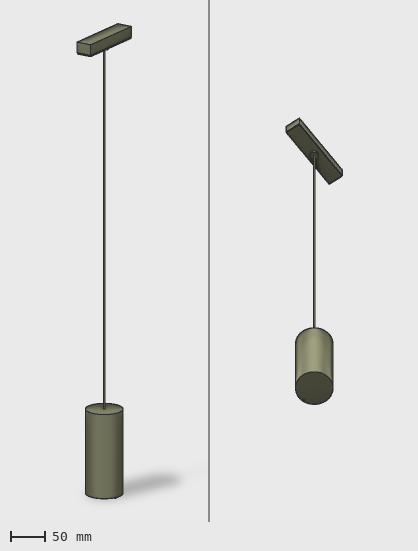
import cadquery as cq

total_height = 704.0

shade_diameter = 55.0
shade_height = 129.0

pin_diameter = 2.0
pin_height = 2.0
pin_x = 24.0
pin_y = -7.0

bar_width = 24.0
bar_length = 108.0
bar_height = 18.0
cover_thickness = 2.0
cover_inset = 0.35

collar_diameter = 12.0
collar_height = 4.0
cord_diameter = 3.0

shade_bottom = pin_height
shade_top = shade_bottom + shade_height
bar_bottom = total_height - bar_height
collar_bottom = bar_bottom - collar_height


def cylinder(diameter, bottom, top):
    """Vertical cylinder on the lamp axis between two heights."""
    return cq.Workplane("XY").workplane(offset=bottom).circle(diameter / 2).extrude(top - bottom)


def block(width, length, bottom, top):
    """Rectangular block centred on the lamp axis between two heights."""
    return cq.Workplane("XY").workplane(offset=bottom).rect(width, length).extrude(top - bottom)


def ceiling_bar():
    cover_top = bar_bottom + cover_thickness
    body = block(bar_width, bar_length, cover_top, total_height)
    cover = block(bar_width - 2 * cover_inset, bar_length - 2 * cover_inset, bar_bottom, cover_top)
    return body.union(cover)


shade = cylinder(shade_diameter, shade_bottom, shade_top)
pin = cylinder(pin_diameter, 0, shade_bottom).translate((pin_x, pin_y, 0))
cord = cylinder(cord_diameter, shade_top, collar_bottom)
collar = cylinder(collar_diameter, collar_bottom, bar_bottom)

result = shade.union(pin).union(cord).union(collar).union(ceiling_bar())